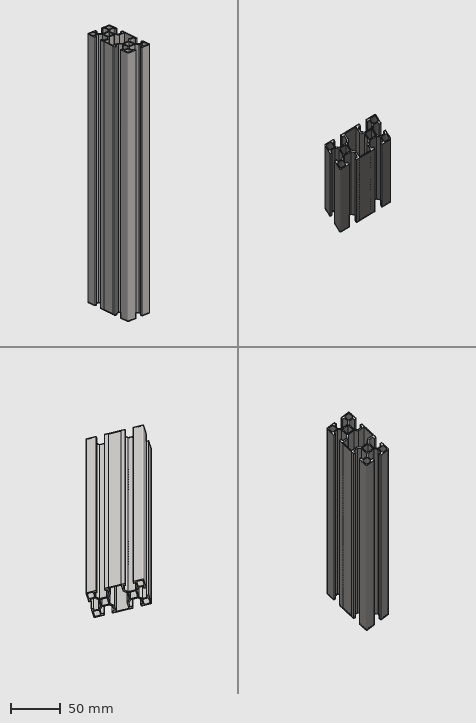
import cadquery as cq

WIDTH = 60.0
DEPTH = 30.0
LENGTH = 300.0
HALF_WIDTH = WIDTH / 2
HALF_DEPTH = DEPTH / 2
OUTER_CORNER_RADIUS = 1.0

SLOT_X = 15.0
SLOT_OPENING = 8.5
SLOT_INNER_WIDTH = 13.5
SLOT_FLOOR_WIDTH = 7.8
LIP_THICKNESS = 2.5
LIP_ROOT_RADIUS = 1.0

CORE_SIDE = 10.0
SLOT_DEPTH = HALF_DEPTH - CORE_SIDE / 2

CORE_HOLE_SIDE = 7.5
CORNER_HOLE_INSET = 4.2
CORNER_HOLE_SIDE = 6.3
CORNER_HOLE_RADIUS = 1.5
CHAMBER_HALF_WIDTH = 6.5
CHAMBER_WALL = 1.0
CHAMBER_WAIST_HALF_WIDTH = SLOT_X - CORE_SIDE / 2
CHAMBER_WAIST_HALF_DEPTH = 3.5


def slot_cutter():
    """T-slot opening toward +Y, with its mouth on the line y = 0."""
    mouth = SLOT_OPENING / 2
    inner = SLOT_INNER_WIDTH / 2
    floor = SLOT_FLOOR_WIDTH / 2
    slope_top = -SLOT_DEPTH + inner - floor
    right_half = [
        (mouth, 0),
        (mouth, -LIP_THICKNESS),
        (inner, -LIP_THICKNESS),
        (inner, slope_top),
        (floor, -SLOT_DEPTH),
    ]
    left_half = [(-x, y) for x, y in reversed(right_half)]
    cutter = cq.Workplane("XY").polyline(right_half + left_half).close().extrude(LENGTH)
    left_root = cq.selectors.NearestToPointSelector((-inner, -LIP_THICKNESS, LENGTH / 2))
    right_root = cq.selectors.NearestToPointSelector((inner, -LIP_THICKNESS, LENGTH / 2))
    return cutter.edges(left_root + right_root).fillet(LIP_ROOT_RADIUS)


def middle_chamber():
    """Hollow between the two cores, widening toward them in 45 degree slopes."""
    top = HALF_DEPTH - CHAMBER_WALL
    bulge = CHAMBER_WAIST_HALF_WIDTH - CHAMBER_HALF_WIDTH
    slope_end = CHAMBER_WAIST_HALF_DEPTH + bulge
    right_half = [
        (CHAMBER_HALF_WIDTH, top),
        (CHAMBER_HALF_WIDTH, slope_end),
        (CHAMBER_WAIST_HALF_WIDTH, CHAMBER_WAIST_HALF_DEPTH),
        (CHAMBER_WAIST_HALF_WIDTH, -CHAMBER_WAIST_HALF_DEPTH),
        (CHAMBER_HALF_WIDTH, -slope_end),
        (CHAMBER_HALF_WIDTH, -top),
    ]
    left_half = [(-x, -y) for x, y in right_half]
    return cq.Workplane("XY").polyline(right_half + left_half).close().extrude(LENGTH)


def core_holes():
    return (
        cq.Workplane("XY")
        .pushPoints([(-SLOT_X, 0), (SLOT_X, 0)])
        .rect(CORE_HOLE_SIDE, CORE_HOLE_SIDE)
        .extrude(LENGTH)
    )


def corner_holes():
    spacing_x = WIDTH - 2 * CORNER_HOLE_INSET
    spacing_y = DEPTH - 2 * CORNER_HOLE_INSET
    return (
        cq.Workplane("XY")
        .rect(spacing_x, spacing_y, forConstruction=True)
        .vertices()
        .rect(CORNER_HOLE_SIDE, CORNER_HOLE_SIDE)
        .extrude(LENGTH)
        .edges("|Z")
        .fillet(CORNER_HOLE_RADIUS)
    )


profile = cq.Workplane("XY").rect(WIDTH, DEPTH).extrude(LENGTH)
profile = profile.edges("|Z").fillet(OUTER_CORNER_RADIUS)

slot = slot_cutter()
for x in (-SLOT_X, SLOT_X):
    wide_side_slot = slot.translate((x, HALF_DEPTH, 0))
    profile = profile.cut(wide_side_slot)
    profile = profile.cut(wide_side_slot.mirror("XZ"))

narrow_side_slot = slot.rotate((0, 0, 0), (0, 0, 1), -90).translate((HALF_WIDTH, 0, 0))
profile = profile.cut(narrow_side_slot)
profile = profile.cut(narrow_side_slot.mirror("YZ"))

result = profile.cut(middle_chamber()).cut(core_holes()).cut(corner_holes())